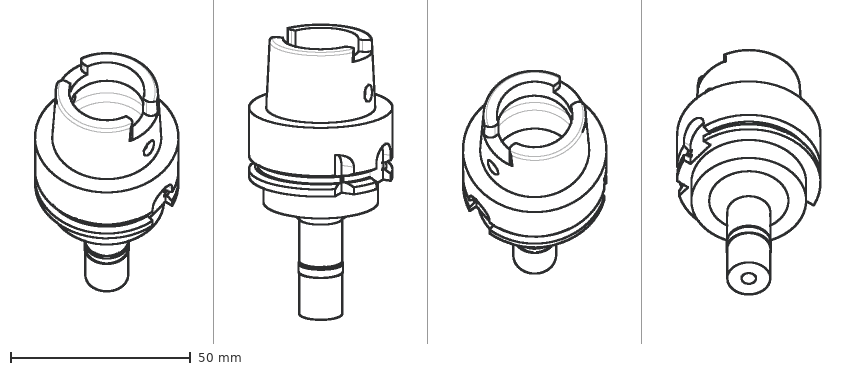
import cadquery as cq
total_height = 80.0
flange_top = 60.0
flange_bottom = 40.0
collar_bottom = 32.5
cone_bottom = 27.7

taper_base_radius = 15.2
taper_top_radius = 14.2
rim_round = 0.8

flange_radius = 20.0
groove_radius = 17.5
groove_bottom = 43.0
groove_width = 2.0
groove_bevel_height = 1.0
groove_bevel_radius = 18.3
groove_top = groove_bottom + groove_width

collar_radius = 16.0
stem_radius = 6.0
cone_top_radius = 11.0

ring_seat_radius = 5.3
ring_seat_bottom = 12.2
ring_seat_width = 3.1
ring_radius = 6.2
ring_width = 2.4

mouth_radius = 10.5
mouth_depth = 8.0
clamp_radius = 13.0
clamp_cone_top = 63.8
clamp_cone_bottom = 60.5
clamp_floor_radius = 12.3
clamp_floor = 50.0
tube_radius = 6.0
tube_floor = flange_bottom
counterbore_radius = 2.5
counterbore_floor = collar_bottom
coolant_radius = 2.0

cross_hole_radius = 2.3
cross_hole_height = 66.1

drive_slot_half_width = 3.9
drive_slot_corner = 2.0
drive_slot_corner_reach = 13.0
left_drive_slot_floor = 76.6
right_drive_slot_floor = 74.0

keyway_half_width = 4.5
side_slot_top = 51.9
keyway_floor_distance = 17.1

notch_center_y = 15.8
notch_half_width = 4.0
notch_floor_distance = 12.2


def cylinder(radius, bottom, top):
    """Upright cylinder on the part's axis."""
    return cq.Workplane("XY").workplane(offset=bottom).circle(radius).extrude(top - bottom)


def make_blank():
    """Solid of revolution with the stem, cone, collar, flange and tapered shank."""
    upper_bevel_top = groove_top + groove_bevel_height
    lower_bevel_bottom = groove_bottom - groove_bevel_height
    ring_seat_top = ring_seat_bottom + ring_seat_width
    blank = (
        cq.Workplane("XZ")
        .moveTo(0, 0)
        .lineTo(stem_radius, 0)
        .lineTo(stem_radius, ring_seat_bottom)
        .lineTo(ring_seat_radius, ring_seat_bottom)
        .lineTo(ring_seat_radius, ring_seat_top)
        .lineTo(stem_radius, ring_seat_top)
        .lineTo(stem_radius, cone_bottom)
        .lineTo(cone_top_radius, collar_bottom)
        .lineTo(collar_radius, collar_bottom)
        .lineTo(collar_radius, flange_bottom)
        .lineTo(flange_radius, flange_bottom)
        .lineTo(flange_radius, lower_bevel_bottom)
        .lineTo(groove_bevel_radius, groove_bottom)
        .lineTo(groove_radius, groove_bottom)
        .lineTo(groove_radius, groove_top)
        .lineTo(groove_bevel_radius, groove_top)
        .lineTo(flange_radius, upper_bevel_top)
        .lineTo(flange_radius, flange_top)
        .lineTo(taper_base_radius, flange_top)
        .lineTo(taper_top_radius, total_height)
        .lineTo(0, total_height)
        .close()
        .revolve(360, (0, 0, 0), (0, 1, 0))
    )
    return blank.faces(">Z").edges().fillet(rim_round)


def make_bores():
    """Stepped bore along the axis, widened behind the mouth for the clamping jaws."""
    mouth_floor = total_height - mouth_depth
    return (
        cq.Workplane("XZ")
        .moveTo(0, 0)
        .lineTo(coolant_radius, 0)
        .lineTo(coolant_radius, counterbore_floor)
        .lineTo(counterbore_radius, counterbore_floor)
        .lineTo(counterbore_radius, tube_floor)
        .lineTo(tube_radius, tube_floor)
        .lineTo(tube_radius, clamp_floor)
        .lineTo(clamp_floor_radius, clamp_floor)
        .lineTo(clamp_floor_radius, clamp_cone_bottom)
        .lineTo(clamp_radius, clamp_cone_top)
        .lineTo(clamp_radius, mouth_floor)
        .lineTo(mouth_radius, mouth_floor)
        .lineTo(mouth_radius, total_height)
        .lineTo(0, total_height)
        .close()
        .revolve(360, (0, 0, 0), (0, 1, 0))
    )


def make_cross_hole():
    """Radial hole through both sides of the shank wall."""
    return (
        cq.Workplane("YZ")
        .center(0, cross_hole_height)
        .circle(cross_hole_radius)
        .extrude(flange_radius, both=True)
    )


def make_drive_slot(side, floor):
    """Mouth slot on one X side, with round corners leading out to a flat across the wall."""
    straight_end = drive_slot_corner_reach - drive_slot_corner
    flared_half_width = drive_slot_half_width + drive_slot_corner
    return (
        cq.Workplane("XY")
        .workplane(offset=floor)
        .moveTo(0, -drive_slot_half_width)
        .lineTo(side * straight_end, -drive_slot_half_width)
        .radiusArc((side * drive_slot_corner_reach, -flared_half_width), side * drive_slot_corner)
        .lineTo(side * drive_slot_corner_reach, -taper_base_radius)
        .lineTo(side * taper_base_radius, -taper_base_radius)
        .lineTo(side * taper_base_radius, taper_base_radius)
        .lineTo(side * drive_slot_corner_reach, taper_base_radius)
        .lineTo(side * drive_slot_corner_reach, flared_half_width)
        .radiusArc((side * straight_end, drive_slot_half_width), side * drive_slot_corner)
        .lineTo(0, drive_slot_half_width)
        .close()
        .extrude(total_height - floor)
    )


def make_round_top_slot(side, center_y, half_width, floor_distance):
    """Round-topped slot on one X side of the flange, open at the flange bottom."""
    arc_center = side_slot_top - half_width
    return (
        cq.Workplane("YZ")
        .workplane(offset=side * floor_distance)
        .moveTo(center_y - half_width, flange_bottom)
        .lineTo(center_y - half_width, arc_center)
        .threePointArc((center_y, side_slot_top), (center_y + half_width, arc_center))
        .lineTo(center_y + half_width, flange_bottom)
        .close()
        .extrude(side * (flange_radius - floor_distance))
    )


def make_holder():
    """Tool holder with all its bores, slots and notches."""
    holder = make_blank().cut(make_bores()).cut(make_cross_hole())
    for side, floor in ((-1, left_drive_slot_floor), (1, right_drive_slot_floor)):
        holder = holder.cut(make_drive_slot(side, floor))
        holder = holder.cut(make_round_top_slot(side, 0, keyway_half_width, keyway_floor_distance))
    return holder.cut(make_round_top_slot(-1, notch_center_y, notch_half_width, notch_floor_distance))


def make_ring():
    """Ring seated at the lower end of the stem groove."""
    ring_top = ring_seat_bottom + ring_width
    outer = cylinder(ring_radius, ring_seat_bottom, ring_top)
    return outer.cut(cylinder(ring_seat_radius, ring_seat_bottom, ring_top))


holder = make_holder().solids()
ring = make_ring()
result = cq.Compound.makeCompound([holder.val(), ring.val()])